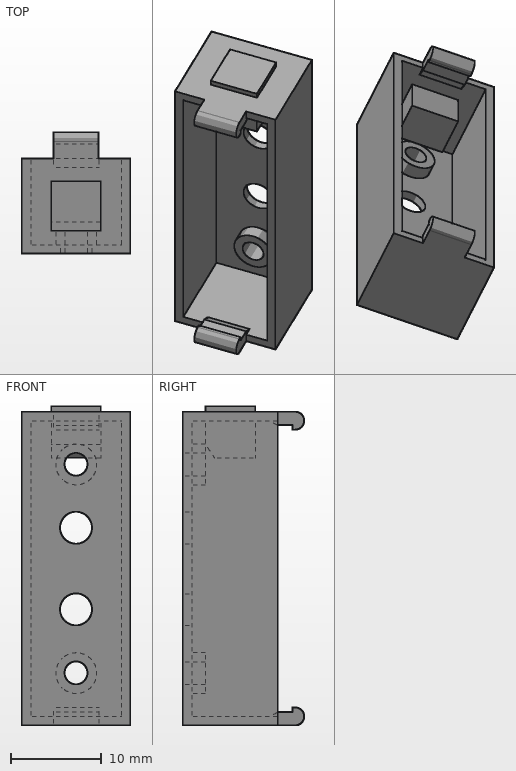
import cadquery as cq

body_width = 12.0
body_depth = 10.5
body_height = 34.6
wall = 1.0

large_hole_diameter = 3.5
large_hole_spacing = 9.0
screw_hole_diameter = 2.5
screw_hole_spacing = 23.0
screw_boss_diameter = 4.5

plunger_side = 5.5
plunger_rise = 0.6
plunger_reach = 5.1
plunger_bevel_height = 1.5
plunger_bevel_depth = 1.0

hook_width = 5.0
hook_length = 2.9
hook_arm_thickness = 1.5
hook_tip_radius = 1.0
hook_lip_offset = 1.6

mid_height = body_height / 2
plunger_front = (body_depth - plunger_side) / 2
plunger_back = plunger_front + plunger_side
screw_boss_end = plunger_front


def front_cylinders(diameter, spacing, start, end):
    """Pair of cylinders along +Y, from depth start to depth end."""
    return (
        cq.Workplane("XZ", origin=(0, start, mid_height))
        .pushPoints([(0, -spacing / 2), (0, spacing / 2)])
        .circle(diameter / 2)
        .extrude(start - end)
    )


def make_housing():
    housing = cq.Workplane("XY").box(body_width, body_depth, body_height, centered=(True, False, False))
    cavity = (
        cq.Workplane("XY", origin=(0, wall, wall))
        .box(body_width - 2 * wall, body_depth - wall, body_height - 2 * wall, centered=(True, False, False))
    )
    return housing.cut(cavity)


def make_plunger():
    top = body_height + plunger_rise
    bottom = body_height - plunger_reach
    return (
        cq.Workplane("YZ", origin=(-plunger_side / 2, 0, 0))
        .moveTo(plunger_front, top)
        .lineTo(plunger_back, top)
        .lineTo(plunger_back, bottom)
        .lineTo(plunger_front + plunger_bevel_depth, bottom)
        .lineTo(plunger_front, bottom + plunger_bevel_height)
        .close()
        .extrude(plunger_side)
    )


def make_bottom_hook():
    """Arm along the bottom face with a rounded tip and a lip that points up."""
    tip_center = body_depth + hook_length - hook_tip_radius
    lip_face = body_depth + hook_lip_offset
    lip_top = 2 * hook_tip_radius
    return (
        cq.Workplane("YZ", origin=(-hook_width / 2, 0, 0))
        .moveTo(body_depth - wall, 0)
        .lineTo(tip_center, 0)
        .threePointArc((body_depth + hook_length, hook_tip_radius), (tip_center, lip_top))
        .lineTo(lip_face, lip_top)
        .lineTo(lip_face, hook_arm_thickness)
        .lineTo(body_depth, hook_arm_thickness)
        .lineTo(body_depth - wall, wall)
        .close()
        .extrude(hook_width)
    )


bottom_hook = make_bottom_hook()
top_hook = bottom_hook.mirror("XY", (0, 0, mid_height))

result = (
    make_housing()
    .union(front_cylinders(screw_boss_diameter, screw_hole_spacing, 0, screw_boss_end))
    .cut(front_cylinders(screw_hole_diameter, screw_hole_spacing, 0, screw_boss_end))
    .cut(front_cylinders(large_hole_diameter, large_hole_spacing, 0, wall))
    .union(make_plunger())
    .union(bottom_hook)
    .union(top_hook)
)